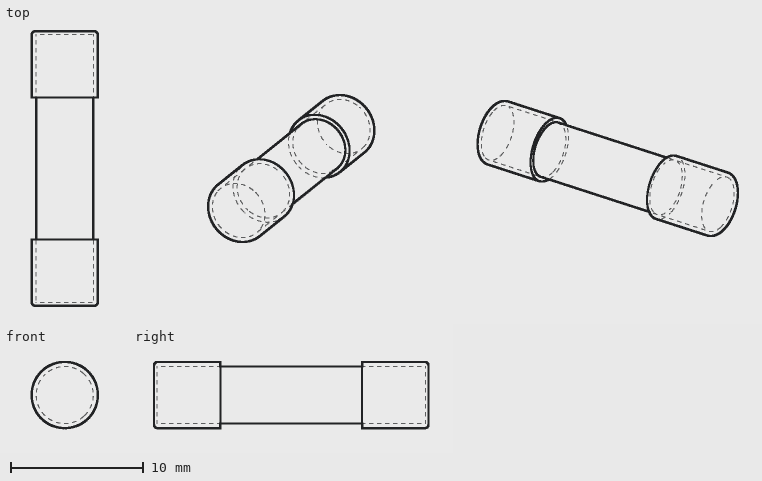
import cadquery as cq

fuse_length = 20.7
cap_diameter = 5.0
cap_length = 5.0
cap_edge_radius = 0.3
tube_diameter = 4.3
end_wall = 0.25

half_length = fuse_length / 2
tube_length = fuse_length - 2 * end_wall


def y_cylinder(diameter, start_y, length):
    """Solid cylinder running along +Y from start_y."""
    plane = cq.Workplane("XZ", origin=(0, start_y, 0))
    return plane.circle(diameter / 2).extrude(-length)


def make_tube():
    """Straight insulating body that reaches the closed ends of both caps."""
    return y_cylinder(tube_diameter, -tube_length / 2, tube_length)


def make_front_cap():
    """Cup with a rounded closed end at -Y and a bore that fits the tube."""
    shell = y_cylinder(cap_diameter, -half_length, cap_length)
    shell = shell.faces("<Y").edges().fillet(cap_edge_radius)
    bore = y_cylinder(tube_diameter, -half_length + end_wall, cap_length - end_wall)
    return shell.cut(bore)


tube = make_tube()

caps = []
for turn_angle in (0, 180):
    cap = make_front_cap().rotate((0, 0, 0), (0, 0, 1), turn_angle)
    caps.append(cap.val())

result = cq.Compound.makeCompound([tube.val(), *caps])